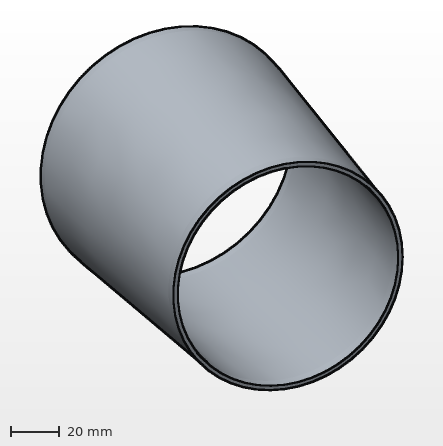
import cadquery as cq

length = 130.0
collar_length = 5.0
large_outer_diameter = 114.3
large_inner_diameter = 108.3
small_outer_diameter = 101.7
small_inner_diameter = 97.6


def reducer_body(large_diameter, small_diameter):
    """Solid of revolution about X: large collar, straight taper, small collar."""
    large_radius = large_diameter / 2
    small_radius = small_diameter / 2
    half_length = length / 2
    taper_end = half_length - collar_length
    return (
        cq.Workplane("XY")
        .moveTo(-half_length, 0)
        .lineTo(-half_length, large_radius)
        .lineTo(-taper_end, large_radius)
        .lineTo(taper_end, small_radius)
        .lineTo(half_length, small_radius)
        .lineTo(half_length, 0)
        .close()
        .revolve(360, (0, 0, 0), (1, 0, 0))
    )


outer_body = reducer_body(large_outer_diameter, small_outer_diameter)
bore = reducer_body(large_inner_diameter, small_inner_diameter)

result = outer_body.cut(bore)